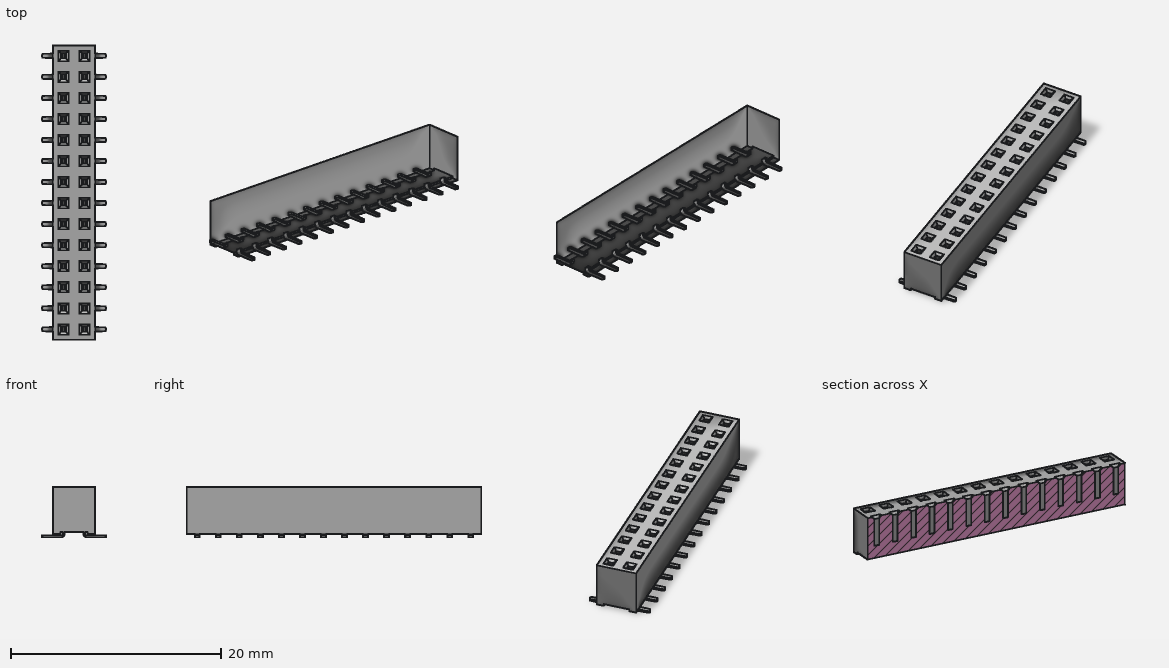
import cadquery as cq

PITCH = 2.0
POSITIONS = 14

BODY_WIDTH = 2 * PITCH
BODY_LENGTH = POSITIONS * PITCH
STANDOFF = 0.3
TOTAL_HEIGHT = 4.8
CHANNEL_WIDTH = 2.6
CHANNEL_DEPTH = 0.2
CHANNEL_CEILING = STANDOFF + CHANNEL_DEPTH

SOCKET_SIZE = 0.5
SOCKET_DEPTH = 3.0
FUNNEL_SIZE = 1.0
FUNNEL_DEPTH = 0.25
SOCKET_FLOOR = TOTAL_HEIGHT - SOCKET_DEPTH

BLADE_WIDTH = 0.45
BLADE_THICKNESS = 0.25
BLADE_HEIGHT = 0.5

LEAD_SPAN = 6.1
LEAD_THICKNESS = 0.2
LEG_WIDTH = 0.5
TIP_WIDTH = 0.4
TIP_BULGE = 0.07
BEND_INNER_RADIUS = 0.1
BEND_OUTER_RADIUS = BEND_INNER_RADIUS + LEAD_THICKNESS
EMBED = 0.2

ROW_X = PITCH / 2
LEG_INNER_X = ROW_X - LEAD_THICKNESS / 2
BEND_END_X = LEG_INNER_X + BEND_OUTER_RADIUS


def make_housing():
    """Plain block with a channel along its underside."""
    block = cq.Workplane("XY").box(
        BODY_WIDTH, BODY_LENGTH, TOTAL_HEIGHT - STANDOFF, centered=(True, True, False)
    )
    channel = cq.Workplane("XY").box(
        CHANNEL_WIDTH, BODY_LENGTH, CHANNEL_DEPTH, centered=(True, True, False)
    )
    return block.cut(channel).translate((0, 0, STANDOFF))


def make_socket():
    """Void of one socket on the +X row: a square hole below a tapered mouth."""
    hole = (
        cq.Workplane("XY", origin=(ROW_X, 0, SOCKET_FLOOR))
        .rect(SOCKET_SIZE, SOCKET_SIZE)
        .extrude(SOCKET_DEPTH)
    )
    funnel = (
        cq.Workplane("XY", origin=(ROW_X, 0, TOTAL_HEIGHT - FUNNEL_DEPTH))
        .rect(SOCKET_SIZE, SOCKET_SIZE)
        .workplane(offset=FUNNEL_DEPTH)
        .rect(FUNNEL_SIZE, FUNNEL_SIZE)
        .loft(ruled=True)
    )
    blade = (
        cq.Workplane("XY", origin=(ROW_X, 0, SOCKET_FLOOR))
        .rect(BLADE_THICKNESS, BLADE_WIDTH)
        .extrude(BLADE_HEIGHT)
    )
    return hole.union(funnel).cut(blade)


def make_lead():
    """Gull-wing lead on the +X row: leg, bend and a foot tapering to a rounded tip."""
    foot_end_x = LEAD_SPAN / 2
    leg_top = CHANNEL_CEILING + EMBED
    strip = (
        cq.Workplane("XZ")
        .moveTo(LEG_INNER_X, leg_top)
        .lineTo(LEG_INNER_X, BEND_OUTER_RADIUS)
        .radiusArc((BEND_END_X, 0), -BEND_OUTER_RADIUS)
        .lineTo(foot_end_x, 0)
        .lineTo(foot_end_x, LEAD_THICKNESS)
        .lineTo(BEND_END_X, LEAD_THICKNESS)
        .radiusArc((LEG_INNER_X + LEAD_THICKNESS, BEND_OUTER_RADIUS), BEND_INNER_RADIUS)
        .lineTo(LEG_INNER_X + LEAD_THICKNESS, leg_top)
        .close()
        .extrude(LEG_WIDTH / 2, both=True)
    )
    plan = (
        cq.Workplane("XY")
        .moveTo(LEG_INNER_X, -LEG_WIDTH / 2)
        .lineTo(BEND_END_X, -LEG_WIDTH / 2)
        .lineTo(foot_end_x - TIP_BULGE, -TIP_WIDTH / 2)
        .threePointArc((foot_end_x, 0), (foot_end_x - TIP_BULGE, TIP_WIDTH / 2))
        .lineTo(BEND_END_X, LEG_WIDTH / 2)
        .lineTo(LEG_INNER_X, LEG_WIDTH / 2)
        .close()
        .extrude(leg_top)
    )
    return strip.intersect(plan)


def repeat(feature):
    """Copies of a +X row feature at every position of both rows."""
    mirrored = feature.mirror("YZ")
    first_y = -(POSITIONS - 1) * PITCH / 2
    copies = cq.Workplane("XY")
    for index in range(POSITIONS):
        shift = (0, first_y + index * PITCH, 0)
        copies.add(feature.translate(shift))
        copies.add(mirrored.translate(shift))
    return copies.combine()


result = make_housing().cut(repeat(make_socket())).union(repeat(make_lead()))